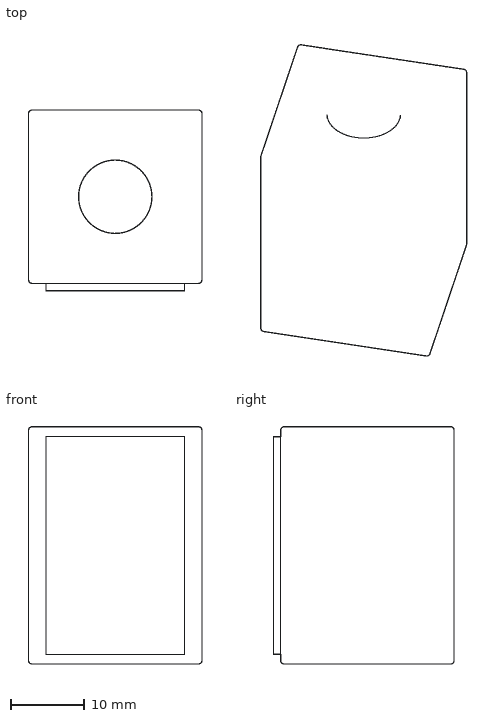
import cadquery as cq

block_side = 23.75
block_height = 32.5
edge_radius = 0.5

bore_diameter = 10.0

plate_width = 18.98
plate_height = 29.8
plate_thickness = 1.0


def make_block():
    """Block with all outer edges and both bore mouths rounded."""
    body = cq.Workplane("XY").box(block_side, block_side, block_height, centered=(True, True, False))
    bore = cq.Workplane("XY").circle(bore_diameter / 2).extrude(block_height)
    return body.cut(bore).faces("<Z or >Z or <X or >X").edges().fillet(edge_radius)


def make_plate():
    """Flat rectangular plate centred on the front face of the block."""
    plate_centre_y = -(block_side + plate_thickness) / 2
    plate = cq.Workplane("XY").box(plate_width, plate_thickness, plate_height)
    return plate.translate((0, plate_centre_y, block_height / 2))


block = make_block()
plate = make_plate()

result = cq.Compound.makeCompound([block.val(), plate.val()])